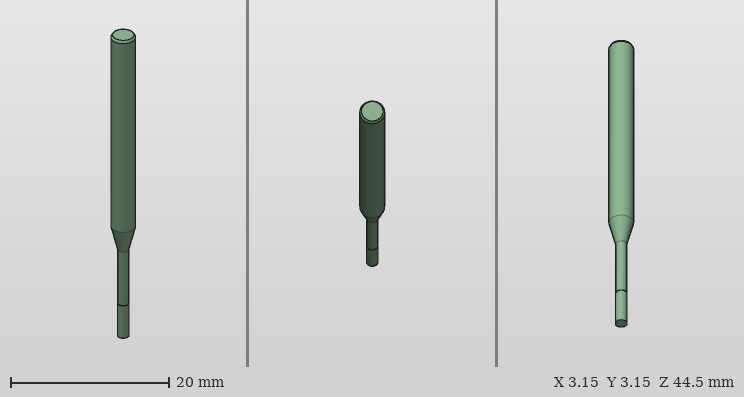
import cadquery as cq

total_length = 44.5
shank_radius = 3.15 / 2
cutter_radius = 1.5 / 2
neck_radius = 1.42 / 2

cutter_length = 4.8
neck_top = 12.73
taper_top = 16.2

chamfer_width = 0.22
chamfer_height = 0.35


def make_cutter():
    """Plain cylinder that stands for the cutting part."""
    return revolve_profile([
        (0, 0),
        (cutter_radius, 0),
        (cutter_radius, cutter_length),
        (0, cutter_length),
    ])


def make_shank():
    """Neck, taper and chamfered shank, seated on top of the cutting part."""
    return revolve_profile([
        (0, cutter_length),
        (neck_radius, cutter_length),
        (neck_radius, neck_top),
        (shank_radius, taper_top),
        (shank_radius, total_length - chamfer_height),
        (shank_radius - chamfer_width, total_length),
        (0, total_length),
    ])


def revolve_profile(points):
    """Turn a closed outline of (radius, height) points about the Z axis."""
    outline = cq.Workplane("YZ").polyline(points).close()
    return outline.revolve(360, (0, 0), (0, 1))


cutter = make_cutter()
shank = make_shank()

result = cq.Compound.makeCompound([cutter.val(), shank.val()])